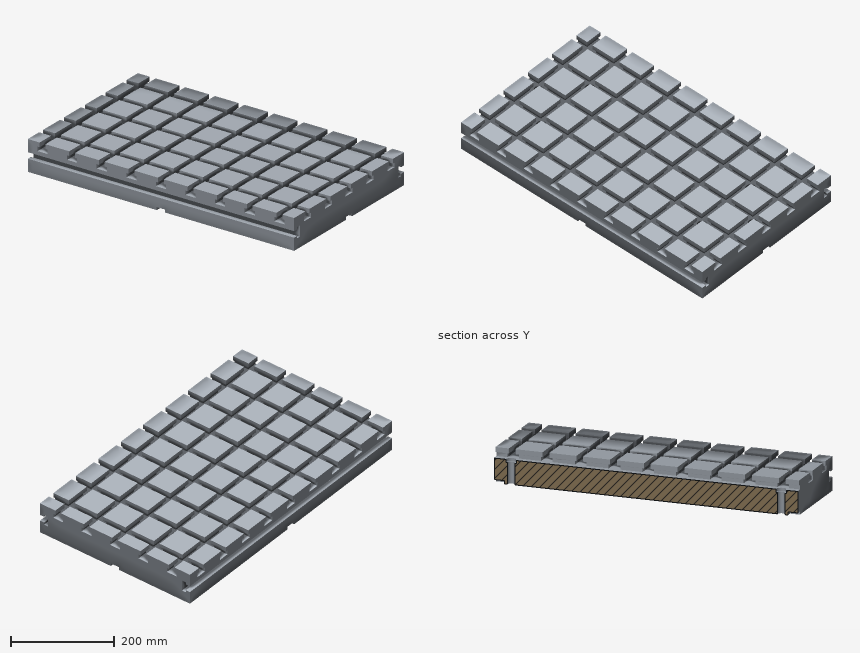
import cadquery as cq

length = 630.0
width = 370.0
cross_slot_count = 9
long_slot_count = 5
pitch = length / cross_slot_count
height = pitch

mouth_width = 14.0
undercut_width = 24.0
mouth_depth = 10.0
slot_depth = 19.5

hole_diameter = 14.0
counterbore_diameter = 20.0
counterbore_depth_below_slot = 6.0
hole_crossings = [(-4, 0), (4, 0), (-3, -1), (-3, 1), (3, -1), (3, 1)]

notch_width = 20.0
notch_height = 6.0
notch_length = 20.0


def centred_positions(count):
    """Places one pitch apart, centred on zero."""
    return [(index - (count - 1) / 2) * pitch for index in range(count)]


def t_slot(run):
    """T-slot along X, open upward, with its mouth at Z = 0."""
    mouth = cq.Workplane("XY").box(run, mouth_width, slot_depth, centered=(True, True, False))
    undercut = cq.Workplane("XY").box(
        run, undercut_width, slot_depth - mouth_depth, centered=(True, True, False)
    )
    return mouth.union(undercut).translate((0, 0, -slot_depth))


def cut_top_slots(plate):
    long_slot = t_slot(length)
    cross_slot = t_slot(width).rotate((0, 0, 0), (0, 0, 1), 90)
    for y in centred_positions(long_slot_count):
        plate = plate.cut(long_slot.translate((0, y, height)))
    for x in centred_positions(cross_slot_count):
        plate = plate.cut(cross_slot.translate((x, 0, height)))
    return plate


def cut_side_slots(plate):
    for side in (-1, 1):
        side_slot = t_slot(length).rotate((0, 0, 0), (1, 0, 0), -90 * side)
        plate = plate.cut(side_slot.translate((0, side * width / 2, height / 2)))
    return plate


def cut_mounting_holes(plate):
    centres = [(column * pitch, row * pitch) for column, row in hole_crossings]
    return (
        plate.copyWorkplane(cq.Workplane("XY", origin=(0, 0, height)))
        .pushPoints(centres)
        .cboreHole(hole_diameter, counterbore_diameter, slot_depth + counterbore_depth_below_slot)
    )


def cut_notches(plate):
    end_notch = cq.Workplane("XY").box(
        2 * notch_length, notch_width, notch_height, centered=(True, True, False)
    )
    side_notch = end_notch.rotate((0, 0, 0), (0, 0, 1), 90)
    for side in (-1, 1):
        plate = plate.cut(end_notch.translate((side * length / 2, 0, 0)))
        plate = plate.cut(side_notch.translate((0, side * width / 2, 0)))
    return plate


plate = cq.Workplane("XY").box(length, width, height, centered=(True, True, False))
plate = cut_top_slots(plate)
plate = cut_side_slots(plate)
plate = cut_mounting_holes(plate)
result = cut_notches(plate)